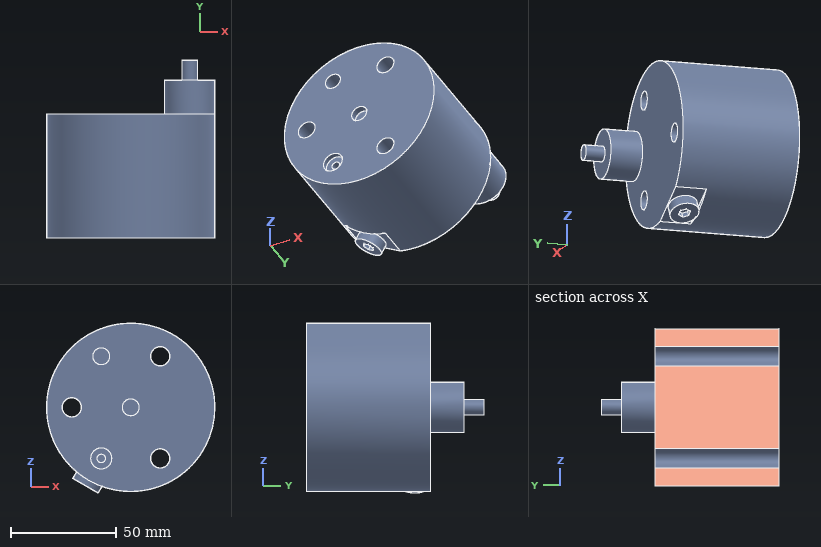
import cadquery as cq
import math

body_diameter = 80.0
body_length = 59.0

boss_diameter = 24.0
boss_length = 16.0
shaft_diameter = 7.5
shaft_length = 9.5
boss_offset = (body_diameter - boss_diameter) / 2

pitch_radius = 28.0
through_angles = (60, 180, 300)
through_diameter = 9.0
blind_diameter = 8.0
blind_depth = 10.0
blind_angle = 120
center_hole_depth = 4.0
cup_angle = 240
cup_diameter = 10.0
cup_depth = 3.0
cup_drill_diameter = 4.0
cup_drill_depth = 15.0

flat_angle = 240
flat_distance = 38.0
flat_length = 15.5
screw_from_back = 7.5
head_diameter = 14.0
head_height = 5.0
socket_sides = 6
socket_across_flats = 5.0
socket_depth = 2.5


def rod(x, z, diameter, y_start, length):
    """Cylinder along +Y that starts at y_start."""
    base = cq.Workplane("XZ", origin=(x, y_start, z))
    return base.circle(diameter / 2).extrude(-length)


def on_pitch_circle(angle):
    """X and Z of a point on the hole circle."""
    direction = math.radians(angle)
    return pitch_radius * math.cos(direction), pitch_radius * math.sin(direction)


def flat_plane(distance):
    """Plane parallel to the flat, centred on the screw, its normal pointing outward."""
    direction = math.radians(flat_angle)
    normal = (math.cos(direction), 0, math.sin(direction))
    origin = (distance * normal[0], body_length - screw_from_back, distance * normal[2])
    return cq.Workplane(cq.Plane(origin=origin, xDir=(0, 1, 0), normal=normal))


def make_body():
    body = rod(0, 0, body_diameter, 0, body_length)
    boss = rod(boss_offset, 0, boss_diameter, body_length, boss_length)
    shaft = rod(boss_offset, 0, shaft_diameter, body_length + boss_length, shaft_length)
    return body.union(boss).union(shaft)


def cut_front_holes(part):
    for angle in through_angles:
        part = part.cut(rod(*on_pitch_circle(angle), through_diameter, 0, body_length))
    part = part.cut(rod(0, 0, blind_diameter, 0, center_hole_depth))
    part = part.cut(rod(*on_pitch_circle(blind_angle), blind_diameter, 0, blind_depth))
    part = part.cut(rod(*on_pitch_circle(cup_angle), cup_diameter, 0, cup_depth))
    return part.cut(rod(*on_pitch_circle(cup_angle), cup_drill_diameter, cup_depth, cup_drill_depth))


def cut_flat(part):
    flat_center = screw_from_back - flat_length / 2
    removed = flat_plane(flat_distance).center(flat_center, 0).rect(flat_length, body_diameter)
    return part.cut(removed.extrude(body_diameter / 2))


def add_screw(part):
    head = flat_plane(flat_distance).circle(head_diameter / 2).extrude(head_height)
    corner_diameter = socket_across_flats / math.cos(math.pi / socket_sides)
    socket = flat_plane(flat_distance + head_height).transformed(rotate=(0, 0, 90))
    socket = socket.polygon(socket_sides, corner_diameter).extrude(-socket_depth)
    return part.union(head).cut(socket)


result = add_screw(cut_flat(cut_front_holes(make_body())))